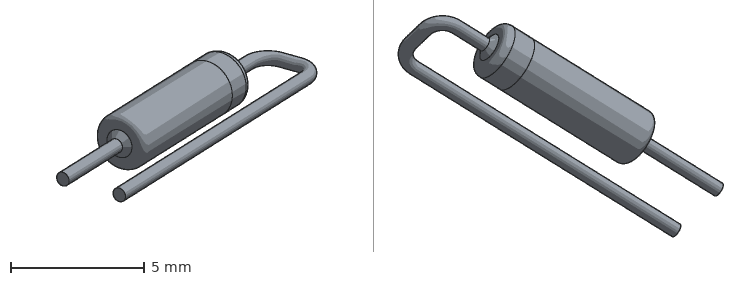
import cadquery as cq
import math

total_length = 13.73
case_radius = 1.133
case_start = 3.83
case_length = 7.2
case_edge_radius = 0.29

band_end_inset = 0.33
band_width = 0.93
band_thickness = 0.07

wire_radius = 0.281
collar_radius = 2 * wire_radius
collar_height = 0.22
lead_pitch = 2.54
bend_radius = 3 * wire_radius

case_end = case_start + case_length
band_end = case_end - band_end_inset
band_start = band_end - band_width
run_y = total_length - wire_radius
bend_start_y = run_y - bend_radius


def rod(radius, start, end):
    """Solid cylinder on the Y axis from start to end."""
    return cq.Workplane("XZ", origin=(0, start, 0)).circle(radius).extrude(start - end)


def make_band():
    core_radius = case_radius - band_thickness
    return rod(case_radius, band_start, band_end).cut(rod(core_radius, band_start, band_end))


def make_case(band):
    rounded_case = rod(case_radius, case_start, case_end).edges().fillet(case_edge_radius)
    return rounded_case.cut(band)


def make_collar(case_face, tip):
    """Cone that narrows from the case face to the wire."""
    profile = [(0, case_face), (collar_radius, case_face), (wire_radius, tip), (0, tip)]
    return cq.Workplane("XY").polyline(profile).close().revolve(360, (0, 0, 0), (0, 1, 0))


def make_straight_lead():
    collar = make_collar(case_start, case_start - collar_height)
    return rod(wire_radius, 0, case_start).union(collar)


def make_bent_lead():
    arc_offset = bend_radius * math.sqrt(0.5)
    first_bend_x = bend_radius
    second_bend_x = lead_pitch - bend_radius
    path = (
        cq.Workplane("XY")
        .moveTo(0, case_end)
        .lineTo(0, bend_start_y)
        .threePointArc((first_bend_x - arc_offset, bend_start_y + arc_offset), (first_bend_x, run_y))
        .lineTo(second_bend_x, run_y)
        .threePointArc((second_bend_x + arc_offset, bend_start_y + arc_offset), (lead_pitch, bend_start_y))
        .lineTo(lead_pitch, 0)
    )
    wire = cq.Workplane("XZ", origin=(0, case_end, 0)).circle(wire_radius).sweep(path)
    return wire.union(make_collar(case_end, case_end + collar_height))


band = make_band()
case = make_case(band)
straight_lead = make_straight_lead()
bent_lead = make_bent_lead()

bodies = [case, band, straight_lead, bent_lead]
result = cq.Compound.makeCompound([body.solids().val() for body in bodies])